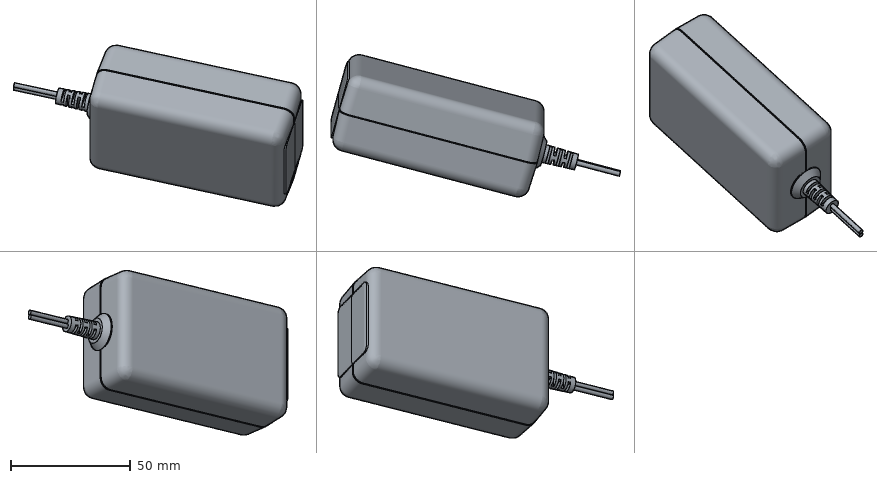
import cadquery as cq


overall_length = 122.33
housing_depth = 33.2
housing_height = 50.39
housing_start = 35.9
housing_end = 121.9
housing_length = housing_end - housing_start
housing_mid = (housing_start + housing_end) / 2
shell_depth = housing_depth / 2
draft_angle = 2.0
edge_radius = 4.8
face_radius = edge_radius - 0.01

groove_width = 0.36
groove_depth = 0.3
lip_thickness = groove_width / 2

panel_depth = 27.0
panel_height = 34.2
panel_corner_radius = 2.5
panel_bevel_height = 0.3
panel_bevel_width = 1.6
panel_embed = 2.0
panel_root = housing_end - panel_embed

wire_radius = 2.03 / 2
wire_spacing = 2.0
wire_embed = 1.0
relief_start = 18.9
relief_tip_radius = 3.4
relief_root_radius = 3.9
flange_start = 33.2
flange_tip_radius = 5.4
flange_root_radius = 8.0
flange_seat_depth = 0.6

slot_count = 5
first_slot = 21.8
slot_pitch = 2.28
slot_width = 1.1
web_thickness = 2.0
slot_reach = 4 * relief_root_radius


def panel_half(side):
    """Half of the bevelled end panel, on the given side of the joint plane."""
    panel = (
        cq.Workplane("YZ", origin=(panel_root, 0, 0))
        .rect(panel_depth, panel_height)
        .extrude(overall_length - panel_root)
        .edges("|X")
        .fillet(panel_corner_radius)
    )
    panel = panel.faces(">X").edges().chamfer(panel_bevel_height, panel_bevel_width)
    keep = cq.Workplane("XY").box(2 * overall_length, panel_depth, 2 * panel_height)
    return panel.intersect(keep.translate((0, side * panel_depth / 2, 0)))


def shell(side):
    """Drafted, rounded half shell; side is -1 or +1 along Y."""
    lip_plane = cq.Plane((housing_mid, 0, 0), xDir=(1, 0, 0), normal=(0, side, 0))
    rim_plane = cq.Plane((housing_mid, side * lip_thickness, 0), xDir=(1, 0, 0), normal=(0, side, 0))

    body = (
        cq.Workplane(rim_plane)
        .rect(housing_length, housing_height)
        .extrude(shell_depth - lip_thickness, taper=draft_angle)
    )
    body = body.edges("not(|X or |Z)").fillet(edge_radius)
    outer_face = ">Y" if side > 0 else "<Y"
    body = body.faces(outer_face).edges().fillet(face_radius)

    lip = (
        cq.Workplane(lip_plane)
        .rect(housing_length - 2 * groove_depth, housing_height - 2 * groove_depth)
        .extrude(lip_thickness)
        .edges("|Y")
        .fillet(edge_radius - groove_depth)
    )
    return body.union(lip).union(panel_half(side))


def slot_cutter(index):
    """Pair of opposed slots that leave a flat web; every second pair is turned a quarter."""
    slab = cq.Workplane("XY").box(slot_width, slot_reach, slot_reach)
    web = cq.Workplane("XY").box(slot_width, slot_reach, web_thickness)
    cutter = slab.cut(web).rotate((0, 0, 0), (1, 0, 0), 90 * (index % 2))
    return cutter.translate((first_slot + index * slot_pitch, 0, 0))


def strain_relief():
    """Tapered sleeve, conical flange and the plug that seats in the shells."""
    seat_end = housing_start + flange_seat_depth
    profile = [
        (relief_start, 0),
        (relief_start, relief_tip_radius),
        (flange_start, relief_root_radius),
        (flange_start, flange_tip_radius),
        (housing_start, flange_root_radius),
        (seat_end, flange_root_radius),
        (seat_end, 0),
    ]
    relief = cq.Workplane("XY").polyline(profile).close().revolve(360, (0, 0, 0), (1, 0, 0))
    for index in range(slot_count):
        relief = relief.cut(slot_cutter(index))
    return relief


def wire(side):
    """One wire of the pair; side is -1 or +1 along Z."""
    return (
        cq.Workplane("YZ")
        .center(0, side * wire_spacing / 2)
        .circle(wire_radius)
        .extrude(relief_start + wire_embed)
    )


cord = strain_relief().union(wire(-1)).union(wire(1))
shells = [shell(side).cut(cord) for side in (-1, 1)]

result = cq.Compound.makeCompound([*[half.solids().val() for half in shells], cord.solids().val()])